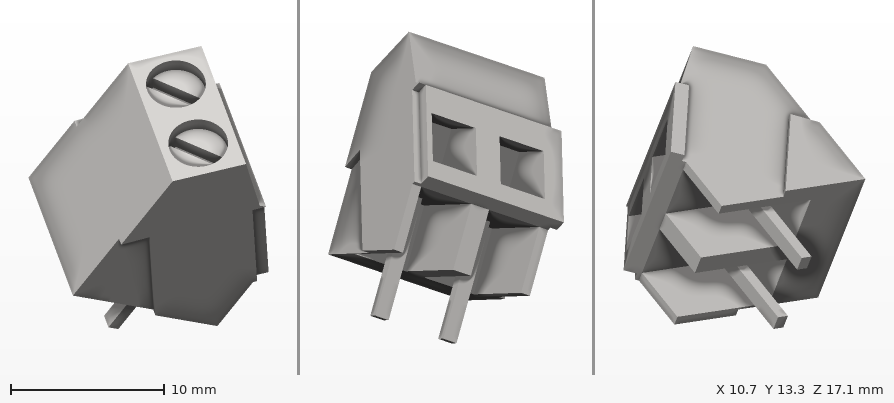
import cadquery as cq
import math


PITCH = 5.08
POLE_COUNT = 2
BODY_WIDTH = POLE_COUNT * PITCH
POLE_CENTERS = [(i - (POLE_COUNT - 1) / 2) * PITCH for i in range(POLE_COUNT)]

TILT = 32.65
BACK_LEAN = 2.35
FRONT_LENGTH = 12.3
BOTTOM_LENGTH = 11.5
LOWER_BACK_LENGTH = 4.5
TOP_LENGTH = 5.0
LEDGE_LENGTH = 1.21
BACK_HEIGHT = 7.70
STEP_LENGTH = 0.52

KEY_DEPTH = 0.5
BACK_KEY_WIDTH = 0.93
FRONT_KEY_OFFSET = 7.9
FRONT_KEY_DROP = 5.38

SCREW_DIAMETER = 3.9
SCREW_RECESS = 1.0
SLOT_WIDTH = 0.8
SLOT_DEPTH = 1.0
SLOT_ANGLE = 45

WIRE_ENTRY_SIZE = 3.3
WIRE_ENTRY_DEPTH = 5.0
WIRE_ENTRY_RISE = 3.45

POCKET_WIDTH = 3.76
POCKET_START = 4.02

PIN_WIDTH = 1.0
PIN_THICKNESS = 0.8
PIN_LENGTH = 3.8
PIN_START = 5.85

MARGIN = 20.0

COS_TILT = math.cos(math.radians(TILT))
SIN_TILT = math.sin(math.radians(TILT))
TAN_LEAN = math.tan(math.radians(BACK_LEAN))


def tilted(along, up):
    """Y and Z of a point given along the underside and square to it."""
    return (along * COS_TILT + up * SIN_TILT, -along * SIN_TILT + up * COS_TILT)


FRONT_TOP = tilted(0, FRONT_LENGTH)
BOTTOM_BACK = tilted(BOTTOM_LENGTH, 0)
LEDGE_INNER = tilted(BOTTOM_LENGTH, LOWER_BACK_LENGTH)
LEDGE_OUTER = (LEDGE_INNER[0] + LEDGE_LENGTH, LEDGE_INNER[1])
TOP_Z = FRONT_TOP[1]
LEDGE_Z = LEDGE_OUTER[1]


def back_y(z):
    """Y of the leaning back wall at height z."""
    return LEDGE_OUTER[0] - (z - LEDGE_Z) * TAN_LEAN


BACK_TOP_Z = LEDGE_Z + BACK_HEIGHT
BACK_TOP = (back_y(BACK_TOP_Z), BACK_TOP_Z)
STEP_TOP = (BACK_TOP[0] - STEP_LENGTH * COS_TILT, BACK_TOP[1] + STEP_LENGTH * SIN_TILT)
TOP_BACK = (FRONT_TOP[0] + TOP_LENGTH, TOP_Z)


def prism(points, x_center, width):
    """Extrude a side outline of (y, z) points along X."""
    plane = cq.Workplane("YZ", origin=(x_center - width / 2, 0, 0))
    return plane.polyline(points).close().extrude(width)


def tilted_box(start, end, bottom, top, x_center, width):
    """Box aligned with the underside."""
    corners = [(start, bottom), (end, bottom), (end, top), (start, top)]
    return prism([tilted(*corner) for corner in corners], x_center, width)


def body_prism(x_center, width):
    outline = [
        (0, 0),
        BOTTOM_BACK,
        LEDGE_INNER,
        LEDGE_OUTER,
        BACK_TOP,
        STEP_TOP,
        TOP_BACK,
        FRONT_TOP,
    ]
    return prism(outline, x_center, width)


def back_key_outline():
    return [
        LEDGE_OUTER,
        BACK_TOP,
        (BACK_TOP[0] - BACK_KEY_WIDTH, BACK_TOP[1]),
        (LEDGE_OUTER[0] - BACK_KEY_WIDTH, LEDGE_OUTER[1]),
    ]


def front_key_outline():
    """Front corner region, reaching past the body at the front and below."""
    upper_z = TOP_Z - FRONT_KEY_DROP
    upper_y = back_y(upper_z) - FRONT_KEY_OFFSET
    lower_z = -MARGIN
    lower_y = back_y(lower_z) - FRONT_KEY_OFFSET
    return [
        (upper_y, upper_z),
        (lower_y, lower_z),
        (-MARGIN, lower_z),
        (-MARGIN, upper_z - (upper_y + MARGIN) * TAN_LEAN),
    ]


def keys(side_x):
    """Both keys as solids whose -X face is at side_x, trimmed to the body outline."""
    x_center = side_x + KEY_DEPTH / 2
    section = body_prism(x_center, KEY_DEPTH)
    back = section.intersect(prism(back_key_outline(), x_center, KEY_DEPTH))
    front = section.intersect(prism(front_key_outline(), x_center, KEY_DEPTH))
    return back.union(front)


def screw_well(x_center):
    """Round well with a driver slot in the screw head at its floor."""
    y_center = FRONT_TOP[0] + TOP_LENGTH / 2
    floor_z = TOP_Z - SCREW_RECESS
    floor = cq.Workplane("XY", origin=(x_center, y_center, floor_z))
    well = floor.circle(SCREW_DIAMETER / 2).extrude(SCREW_RECESS)
    slot_plane = floor.transformed(rotate=(0, 0, SLOT_ANGLE))
    slot = slot_plane.rect(SCREW_DIAMETER, SLOT_WIDTH).extrude(-SLOT_DEPTH)
    head = floor.circle(SCREW_DIAMETER / 2).extrude(-SLOT_DEPTH)
    return well.union(slot.intersect(head))


def wire_entry(x_center):
    """Square entry running parallel to the underside."""
    entry_z = LEDGE_Z + WIRE_ENTRY_RISE
    entry_y = back_y(entry_z)
    along = entry_y * COS_TILT - entry_z * SIN_TILT
    up = entry_y * SIN_TILT + entry_z * COS_TILT
    half_size = WIRE_ENTRY_SIZE / 2
    start = along - WIRE_ENTRY_DEPTH
    end = along + WIRE_ENTRY_DEPTH
    return tilted_box(start, end, up - half_size, up + half_size, x_center, WIRE_ENTRY_SIZE)


def pin_pocket(x_center):
    """Pocket open at the underside and through the lower back face, as high as the ledge corner."""
    return tilted_box(POCKET_START, BOTTOM_LENGTH, 0, LOWER_BACK_LENGTH, x_center, POCKET_WIDTH)


def pin(x_center):
    """Pin hanging from the pocket ceiling, sunk into the body by its own thickness."""
    root = LOWER_BACK_LENGTH + PIN_THICKNESS
    return tilted_box(PIN_START, PIN_START + PIN_THICKNESS, -PIN_LENGTH, root, x_center, PIN_WIDTH)


result = body_prism(0, BODY_WIDTH)
result = result.union(keys(-BODY_WIDTH / 2 - KEY_DEPTH))
result = result.cut(keys(BODY_WIDTH / 2 - KEY_DEPTH))
for pole_x in POLE_CENTERS:
    result = result.cut(screw_well(pole_x))
    result = result.cut(wire_entry(pole_x))
    result = result.cut(pin_pocket(pole_x))
    result = result.union(pin(pole_x))